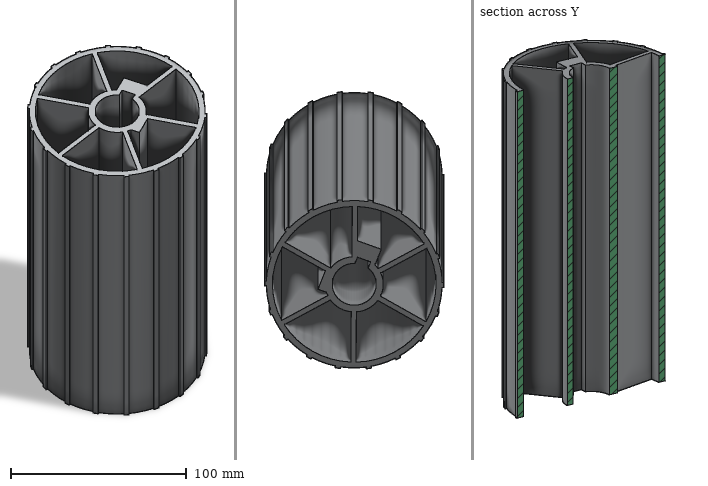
import cadquery as cq
import math

length = 200
drum_diameter = 100
drum_bore_diameter = 93.0

grip_count = 18
grip_width = 3.0
grip_height = 1.0

hub_diameter = 33.0
bore_diameter = 25.0
keyway_width = 8
keyway_reach = 15.8

spoke_count = 6
spoke_width = 3.0
first_spoke_angle = 10

key_pad_half_width = 7.0
key_pad_top = 25.0
side_pad_reach = 18.2
side_pad_drop = 10

drum_radius = drum_diameter / 2
drum_inner_radius = drum_bore_diameter / 2
hub_radius = hub_diameter / 2
wall_middle_radius = (drum_radius + drum_inner_radius) / 2
hub_middle_radius = (hub_radius + bore_diameter / 2) / 2
spoke_pitch = 360 / spoke_count


def tube(outer_radius, inner_radius):
    return cq.Workplane("XY").circle(outer_radius).circle(inner_radius).extrude(length)


def radial_bar(start_radius, end_radius, width, angle):
    """Full-length bar pointing away from the axis at the given angle."""
    bar = cq.Workplane("XY").center((start_radius + end_radius) / 2, 0)
    bar = bar.rect(end_radius - start_radius, width).extrude(length)
    return bar.rotate((0, 0, 0), (0, 0, 1), angle)


def key_pad():
    """Pad over the keyway, running from its free side to the nearby spoke."""
    spoke_slope = math.tan(math.radians(first_spoke_angle + spoke_pitch))
    outline = [
        (-key_pad_half_width, 0),
        (0, 0),
        (key_pad_top / spoke_slope, key_pad_top),
        (-key_pad_half_width, key_pad_top),
    ]
    return cq.Workplane("XY").polyline(outline).close().extrude(length)


def side_pad():
    """Pad on the +X side of the hub, running up to the first spoke."""
    spoke_slope = math.tan(math.radians(first_spoke_angle))
    outline = [
        (0, 0),
        (0, -side_pad_drop),
        (side_pad_reach, -side_pad_drop),
        (side_pad_reach, side_pad_reach * spoke_slope),
    ]
    return cq.Workplane("XY").polyline(outline).close().extrude(length)


body = tube(drum_radius, drum_inner_radius).union(tube(hub_radius, bore_diameter / 2))
for index in range(spoke_count):
    spoke_angle = first_spoke_angle + index * spoke_pitch
    body = body.union(radial_bar(hub_middle_radius, wall_middle_radius, spoke_width, spoke_angle))

crown = cq.Workplane("XY").circle(drum_radius + grip_height).extrude(length)
for index in range(grip_count):
    grip_angle = index * 360 / grip_count
    grip = radial_bar(wall_middle_radius, drum_radius + 2 * grip_height, grip_width, grip_angle)
    body = body.union(grip.intersect(crown))

body = body.union(key_pad()).union(side_pad())

bore = cq.Workplane("XY").circle(bore_diameter / 2).extrude(length)
keyway = radial_bar(0, keyway_reach, keyway_width, 90)
result = body.cut(bore.union(keyway))